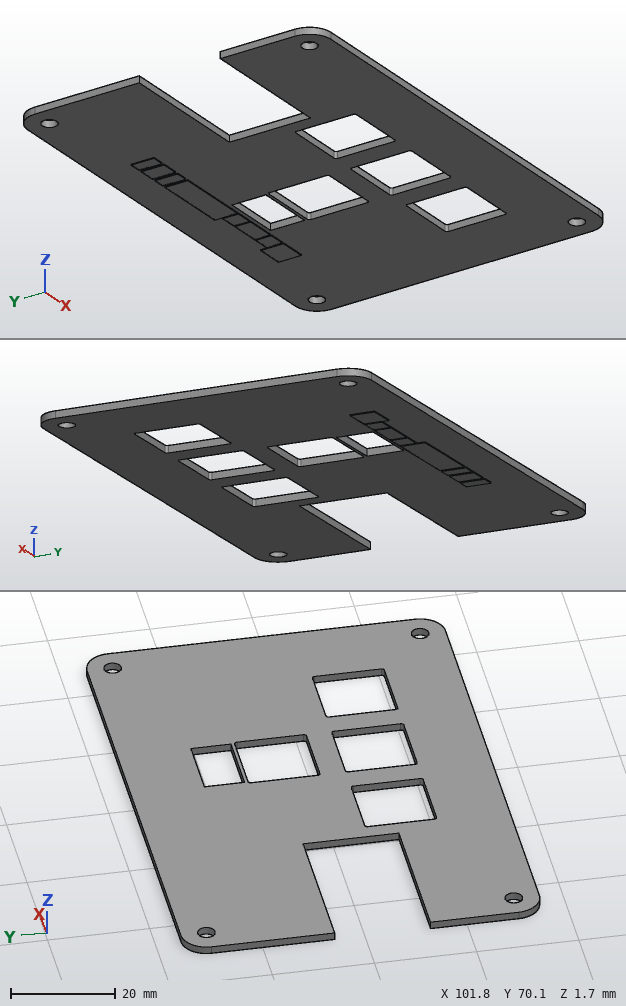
import cadquery as cq


PLATE_LENGTH = 101.8
PLATE_WIDTH = 70.1
PLATE_THICKNESS = 1.5
CORNER_RADIUS = 5.0

HOLE_DIAMETER = 3.4
HOLE_INSET = CORNER_RADIUS

NOTCH_DEPTH = 30.9
NOTCH_BOTTOM = 22.3
NOTCH_HEIGHT = 18.7

KEY_SIZE = 14.0
KEY_CORNER_RADIUS = 0.5
KEY_PITCH = 19.0
MIDDLE_KEY_X = 60.4
KEY_ROW_Y = 21.2

WINDOW_LENGTH = 13.2
WINDOW_HEIGHT = 7.8
WINDOW_KEY_GAP = 0.7

PAD_HEIGHT = 0.2
PAD_LINE_Y = 56.7
TALL_PAD_WIDTH = 5.3
SHORT_PAD_WIDTH = 3.7
FIRST_PAD_X = 28.3
WIDE_GAP = 0.7
NARROW_GAP = 0.3

PADS = [
    (2.7, TALL_PAD_WIDTH, WIDE_GAP),
    (4.0, TALL_PAD_WIDTH, WIDE_GAP),
    (2.7, TALL_PAD_WIDTH, WIDE_GAP),
    (17.1, TALL_PAD_WIDTH, NARROW_GAP),
    (3.9, SHORT_PAD_WIDTH, NARROW_GAP),
    (6.8, SHORT_PAD_WIDTH, NARROW_GAP),
    (3.9, SHORT_PAD_WIDTH, NARROW_GAP),
    (6.1, TALL_PAD_WIDTH, NARROW_GAP),
]


def through_block(length, width, center_x, center_y):
    """A block as thick as the plate, used to cut an opening through it."""
    block = cq.Workplane("XY").box(length, width, PLATE_THICKNESS, centered=(True, True, False))
    return block.translate((center_x, center_y, 0))


def plate_blank():
    """The rounded plate with its four screw holes."""
    blank = through_block(PLATE_LENGTH, PLATE_WIDTH, PLATE_LENGTH / 2, PLATE_WIDTH / 2)
    blank = blank.edges("|Z").fillet(CORNER_RADIUS)
    hole_centers = [
        (x, y)
        for x in (HOLE_INSET, PLATE_LENGTH - HOLE_INSET)
        for y in (HOLE_INSET, PLATE_WIDTH - HOLE_INSET)
    ]
    holes = cq.Workplane("XY").pushPoints(hole_centers).circle(HOLE_DIAMETER / 2).extrude(PLATE_THICKNESS)
    return blank.cut(holes)


def notch_cutter():
    return through_block(NOTCH_DEPTH, NOTCH_HEIGHT, NOTCH_DEPTH / 2, NOTCH_BOTTOM + NOTCH_HEIGHT / 2)


def key_cutter(center_x, center_y):
    return through_block(KEY_SIZE, KEY_SIZE, center_x, center_y).edges("|Z").fillet(KEY_CORNER_RADIUS)


def window_cutter():
    upper_key_top = KEY_ROW_Y + KEY_PITCH + KEY_SIZE / 2
    window_y = upper_key_top + WINDOW_KEY_GAP + WINDOW_HEIGHT / 2
    return through_block(WINDOW_LENGTH, WINDOW_HEIGHT, MIDDLE_KEY_X, window_y)


def make_plate():
    key_centers = [(MIDDLE_KEY_X + step * KEY_PITCH, KEY_ROW_Y) for step in (-1, 0, 1)]
    key_centers.append((MIDDLE_KEY_X, KEY_ROW_Y + KEY_PITCH))

    plate = plate_blank().cut(notch_cutter()).cut(window_cutter())
    for center_x, center_y in key_centers:
        plate = plate.cut(key_cutter(center_x, center_y))
    return plate


def make_pad(left_x, length, width):
    """One pad, hanging from the underside of the plate."""
    pad = cq.Workplane("XY").box(length, width, PAD_HEIGHT, centered=False)
    return pad.translate((left_x, PAD_LINE_Y, -PAD_HEIGHT))


def make_pads():
    pads = []
    left_x = FIRST_PAD_X
    for length, width, gap in PADS:
        pads.append(make_pad(left_x, length, width))
        left_x += length + gap
    return pads


plate = make_plate()
underside_pads = make_pads()

result = cq.Compound.makeCompound([plate.val(), *[pad.val() for pad in underside_pads]])